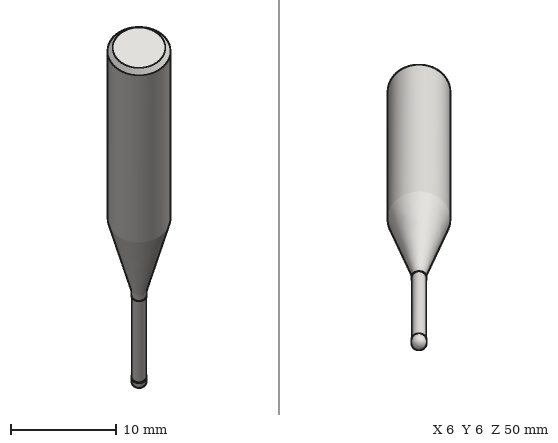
import cadquery as cq


total_length = 50.0
shank_radius = 3.0
top_chamfer = 0.5
cone_top_z = 24.75

neck_radius = 0.7
collar_radius = 0.75
collar_top_z = 13.95
cone_bottom_radius = 0.85
cone_bottom_z = 14.65
neck_top_z = 13.35

tip_radius = 0.75
tip_top_z = 1.2
relief_height = 0.1
neck_bottom_z = tip_top_z + relief_height


def make_shank():
    """Chamfered shank, long cone, concave blend, collar and slender neck."""
    profile = (
        cq.Workplane("XZ")
        .moveTo(0, tip_top_z)
        .lineTo(tip_radius, tip_top_z)
        .lineTo(neck_radius, neck_bottom_z)
        .lineTo(neck_radius, neck_top_z)
        .lineTo(collar_radius, neck_top_z)
        .lineTo(collar_radius, collar_top_z)
        .tangentArcPoint((cone_bottom_radius, cone_bottom_z), relative=False)
        .lineTo(shank_radius, cone_top_z)
        .lineTo(shank_radius, total_length - top_chamfer)
        .lineTo(shank_radius - top_chamfer, total_length)
        .lineTo(0, total_length)
        .close()
    )
    return profile.revolve(360, (0, 0, 0), (0, 1, 0))


def make_tip():
    """Short cylinder with a hemispherical end."""
    ball_mid = tip_radius * 0.5**0.5
    profile = (
        cq.Workplane("XZ")
        .moveTo(0, 0)
        .threePointArc((ball_mid, tip_radius - ball_mid), (tip_radius, tip_radius))
        .lineTo(tip_radius, tip_top_z)
        .lineTo(0, tip_top_z)
        .close()
    )
    return profile.revolve(360, (0, 0, 0), (0, 1, 0))


shank = make_shank()
tip = make_tip()

result = cq.Compound.makeCompound([shank.val(), tip.val()])